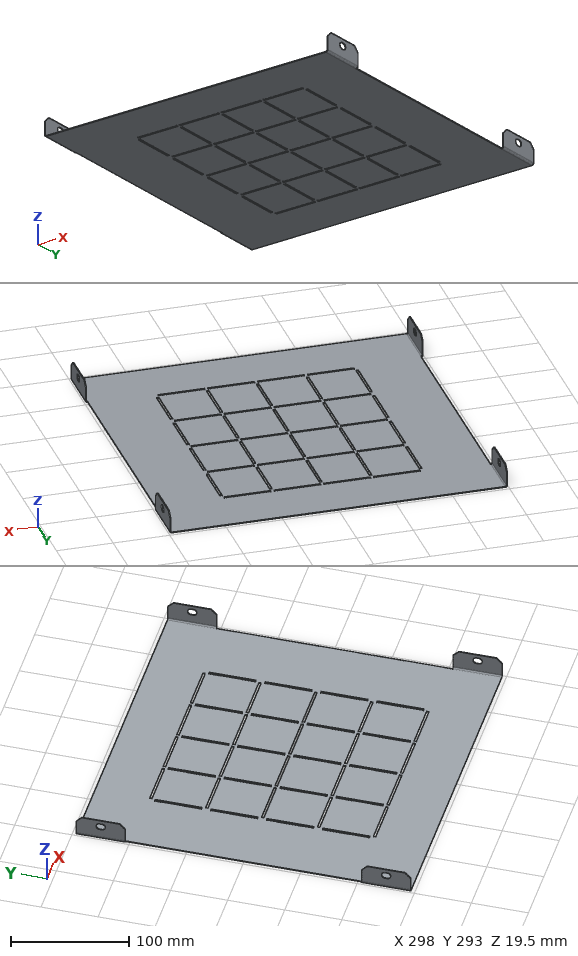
import cadquery as cq

overall_width = 298.0
overall_height = 19.5
plate_length = 293.0
thickness = 1.0
bend_inner_radius = 1.0

ear_length = 43.0
ear_corner_chamfer = 5.0
hole_length = 8.0
hole_height = 6.0
hole_center_z = 13.0

cells_per_side = 4
cell_pitch_x = 44.0
cell_pitch_y = 49.0
slot_length = 41.0
slot_width = 2.0

bend_outer_radius = bend_inner_radius + thickness
ear_outer_x = overall_width / 2
ear_inner_x = ear_outer_x - thickness
plate_edge_x = ear_outer_x - bend_outer_radius
plate_edge_y = plate_length / 2
ear_center_y = plate_edge_y - ear_length / 2


def centered_positions(count, pitch):
    """Evenly spaced positions, symmetric about zero."""
    return [(i - (count - 1) / 2) * pitch for i in range(count)]


def make_plate():
    return cq.Workplane("XY").box(2 * plate_edge_x, plate_length, thickness, centered=(True, True, False))


def make_ear():
    """Ear at the +X, +Y corner: quarter bend, upright wall, chamfered top corners and an oblong hole."""
    ear = (
        cq.Workplane("XZ", origin=(0, plate_edge_y, 0))
        .moveTo(plate_edge_x, 0)
        .radiusArc((ear_outer_x, bend_outer_radius), -bend_outer_radius)
        .lineTo(ear_outer_x, overall_height)
        .lineTo(ear_inner_x, overall_height)
        .lineTo(ear_inner_x, bend_outer_radius)
        .radiusArc((plate_edge_x, thickness), bend_inner_radius)
        .close()
        .extrude(ear_length)
        .faces(">Z")
        .edges("|X")
        .chamfer(ear_corner_chamfer)
    )
    hole = (
        cq.Workplane("YZ", origin=(ear_inner_x, ear_center_y, hole_center_z))
        .slot2D(hole_length, hole_height)
        .extrude(thickness)
    )
    return ear.cut(hole)


def make_ears():
    """All four ears, mirrored from one corner."""
    ear = make_ear()
    ears_on_one_edge = ear.union(ear.mirror("XZ"))
    return ears_on_one_edge.union(ears_on_one_edge.mirror("YZ"))


def make_slots():
    """Through slots along every side of every grid cell, interrupted at the cell corners."""
    line_x = centered_positions(cells_per_side + 1, cell_pitch_x)
    line_y = centered_positions(cells_per_side + 1, cell_pitch_y)
    cell_x = centered_positions(cells_per_side, cell_pitch_x)
    cell_y = centered_positions(cells_per_side, cell_pitch_y)
    slots_along_x = [(x, y) for x in cell_x for y in line_y]
    slots_along_y = [(x, y) for x in line_x for y in cell_y]
    return (
        cq.Workplane("XY")
        .pushPoints(slots_along_x)
        .rect(slot_length, slot_width)
        .pushPoints(slots_along_y)
        .rect(slot_width, slot_length)
        .extrude(thickness)
    )


result = make_plate().union(make_ears()).cut(make_slots())